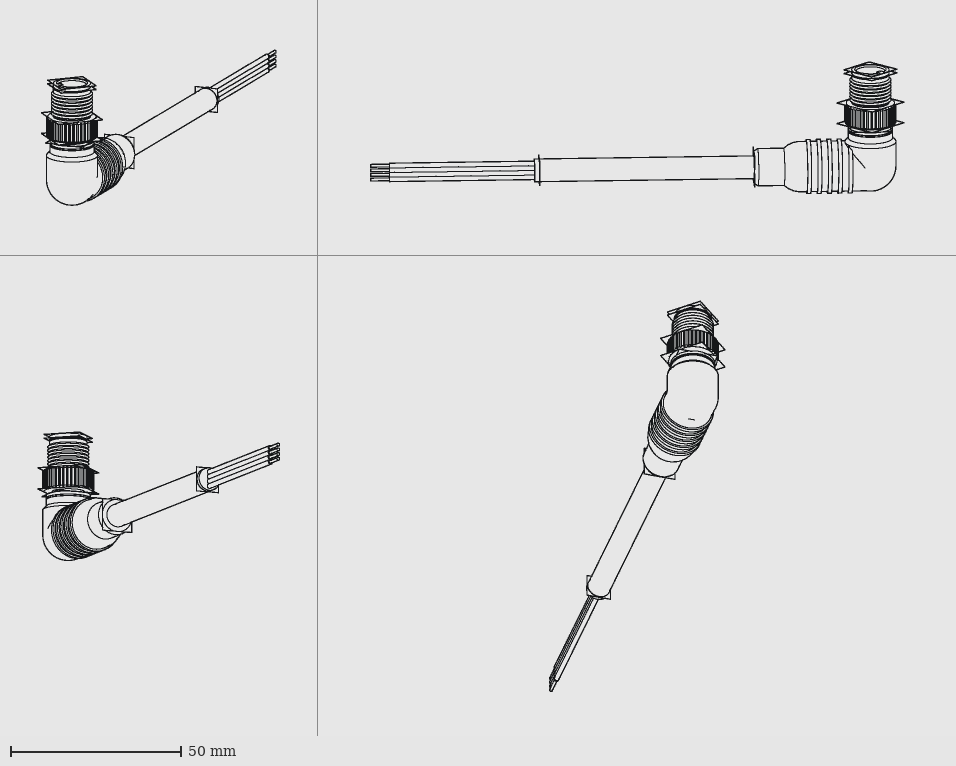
import cadquery as cq
import math


overall_length = 112.7
overall_height = 37.5
sheet_thickness = 0.1

elbow_radius = 7.5
elbow_top = 7.4
neck_radius = 6.5
neck_start = 8.6
neck_top = 12.0
neck_groove_z = 10.6
neck_groove_width = 0.5
neck_groove_depth = 0.2
stem_radius = 4.7

nut_bottom = 13.0
nut_top = 19.4
nut_radius = 7.5
nut_chamfer = 0.6
nut_plate_side = 2 * (nut_radius - nut_chamfer)
knurl_count = 40
knurl_size = 0.6

thread_end = 26.8
thread_pitch = 1.0
thread_radius = 6.1
tip_radius = 5.5
tip_groove_bottom = 28.0
tip_groove_top = 28.4
tip_groove_depth = 0.2
tip_top = 29.5
mouth_radius = 4.6
socket_radius = 4.2
socket_depth = 0.5
key_width = 1.7
key_length = 1.0

body_radius = 7.4
collar_radius = 5.5
collar_end = 34.4
collar_chamfer_length = 1.2
boot_end_radius = 4.7
shoulder_foot = 25.5
shoulder_top = 21.2
shoulder_middle = (6.9, 23.4)
rib_count = 5
rib_pitch = 3.0
rib_width = 1.1
rib_radius = overall_height - tip_top
first_rib = 2 * rib_pitch

cable_radius = 3.4
cable_start = 26.4
cable_end = 99.0
cable_plate_position = 97.6
cable_plate_side = 7.2
wire_count = 4
insulation_radius = 0.72
wire_overlap = 0.03
wire_pitch = 2 * insulation_radius - wire_overlap
insulation_end = 141.7
bare_radius = 0.5
bare_end = 147.2

wire_reach = (bare_end + bare_radius) * math.sqrt(0.5)
washer_corner = overall_length - wire_reach

cable_plane = cq.Plane(origin=(0, 0, 0), xDir=(1, 1, 0), normal=(-1, 1, 0))


def rod(plane, radius, start, end):
    """Cylinder between two distances along the normal of a plane."""
    return cq.Workplane(plane).workplane(offset=start).circle(radius).extrude(end - start)


def square_plate(plane, side, position):
    """Thin square sheet whose outer face lies at a distance along the normal of a plane."""
    start = position - sheet_thickness
    return cq.Workplane(plane).workplane(offset=start).rect(side, side).extrude(sheet_thickness)


def make_elbow():
    elbow = rod("XY", elbow_radius, 0, elbow_top)
    elbow = elbow.union(cq.Workplane("XY").sphere(elbow_radius))
    neck = (
        cq.Workplane("XZ")
        .moveTo(0, elbow_top)
        .lineTo(elbow_radius, elbow_top)
        .lineTo(neck_radius, neck_start)
        .lineTo(neck_radius, neck_groove_z)
        .lineTo(neck_radius - neck_groove_depth, neck_groove_z)
        .lineTo(neck_radius - neck_groove_depth, neck_groove_z + neck_groove_width)
        .lineTo(neck_radius, neck_groove_z + neck_groove_width)
        .lineTo(neck_radius, neck_top)
        .lineTo(0, neck_top)
        .close()
        .revolve(360, (0, 0, 0), (0, 1, 0))
    )
    washer = square_plate("XY", washer_corner * math.sqrt(2), neck_top + sheet_thickness)
    washer = washer.rotate((0, 0, 0), (0, 0, 1), 45)
    stem = rod("XY", stem_radius, neck_top, nut_bottom)
    return elbow.union(neck).union(washer).union(stem)


def make_nut():
    nut = rod("XY", nut_radius, nut_bottom, nut_top).edges().chamfer(nut_chamfer)
    knurls = (
        cq.Workplane("XY")
        .workplane(offset=nut_bottom)
        .polarArray(nut_radius, 0, 360, knurl_count)
        .polygon(4, knurl_size)
        .extrude(nut_top - nut_bottom)
    )
    nut = nut.cut(knurls)
    for position in (nut_bottom + sheet_thickness, nut_top):
        nut = nut.union(square_plate("XY", nut_plate_side, position))
    return nut


def make_threaded_tip():
    profile = cq.Workplane("XZ").moveTo(0, nut_top).lineTo(tip_radius, nut_top)
    ridge_count = int((thread_end - nut_top) / thread_pitch)
    first_ridge = thread_end - ridge_count * thread_pitch
    for index in range(ridge_count):
        root = first_ridge + index * thread_pitch
        profile = profile.lineTo(tip_radius, root)
        profile = profile.lineTo(thread_radius, root + thread_pitch / 2)
    tip = (
        profile.lineTo(tip_radius, thread_end)
        .lineTo(tip_radius, tip_groove_bottom)
        .lineTo(tip_radius - tip_groove_depth, tip_groove_bottom)
        .lineTo(tip_radius - tip_groove_depth, tip_groove_top)
        .lineTo(tip_radius, tip_groove_top)
        .lineTo(tip_radius, tip_top)
        .lineTo(mouth_radius, tip_top)
        .lineTo(socket_radius, tip_top - socket_depth)
        .lineTo(0, tip_top - socket_depth)
        .close()
        .revolve(360, (0, 0, 0), (0, 1, 0))
    )
    for position in (tip_groove_top, tip_top):
        plate = square_plate("XY", 2 * tip_radius, position)
        tip = tip.union(plate.cut(rod("XY", mouth_radius, tip_top - socket_depth, tip_top)))
    key_inner = socket_radius - key_length
    key = (
        cq.Workplane("XY")
        .workplane(offset=tip_top - socket_depth)
        .center(0, -(mouth_radius + key_inner) / 2)
        .rect(key_width, mouth_radius - key_inner)
        .extrude(socket_depth)
    )
    return tip.union(key)


def make_boot():
    profile_plane = cq.Plane(origin=(0, 0, 0), xDir=(0, 0, 1), normal=(-1, -1, 0))
    boot = (
        cq.Workplane(profile_plane)
        .lineTo(body_radius, 0)
        .lineTo(body_radius, shoulder_top)
        .threePointArc(shoulder_middle, (collar_radius, shoulder_foot))
        .lineTo(collar_radius, collar_end - collar_chamfer_length)
        .lineTo(boot_end_radius, collar_end)
        .lineTo(0, collar_end)
        .close()
        .revolve(360, (0, 0, 0), (0, 1, 0))
    )
    for index in range(rib_count):
        start = first_rib + index * rib_pitch - rib_width / 2
        boot = boot.union(rod(cable_plane, rib_radius, start, start + rib_width))
    return boot.union(square_plate(cable_plane, 2 * boot_end_radius, collar_end))


def make_cable():
    cable = rod(cable_plane, cable_radius, cable_start, cable_end)
    cable = cable.union(square_plate(cable_plane, cable_plate_side, cable_plate_position))
    for index in range(wire_count):
        height = (index - (wire_count - 1) / 2) * wire_pitch
        insulation = rod(cable_plane, insulation_radius, cable_plate_position, insulation_end)
        bare = rod(cable_plane, bare_radius, insulation_end, bare_end)
        cable = cable.union(insulation.union(bare).translate((0, 0, height)))
    return cable


result = make_elbow()
for add_part in (make_boot, make_cable, make_nut, make_threaded_tip):
    result = result.union(add_part())